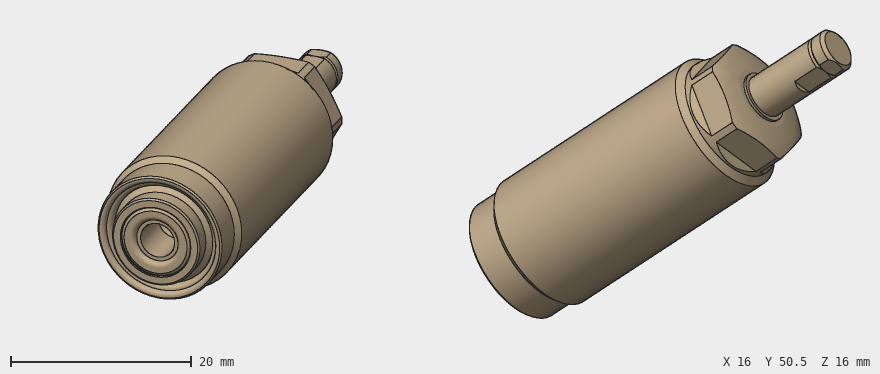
import cadquery as cq
import math

length = 50.5

body_diameter = 16.0
body_radius = body_diameter / 2
collar_radius = 7.35
collar_front = 1.15
collar_edge_chamfer = 0.2
body_front = 5.7
body_rear = 33.3
body_rear_chamfer = 0.7
mouth_radius = 6.5
mouth_fillet = 0.5
mouth_floor = 1.75
throat_radius = 5.9
throat_fillet = mouth_radius - throat_radius
socket_floor = 8.1
hex_across_flats = 12.85
hex_sides = 6
hex_corner_radius = 7.15
hex_start = 35.0
dome_start_radius = 3.65
dome_radius = 7.85
dome_top = 39.0
ring_radius = 3.0
ring_top = 39.3

shaft_radius = 2.5
shaft_seat = body_rear
shaft_end_chamfer = 0.4
shaft_across_flats = 4.5
shaft_flat_start = 45.0
groove_position = 48.55
groove_depth = shaft_radius - shaft_across_flats / 2
groove_half_width = 0.225

plug_face = 0.0
plug_radius = 5.2
plug_edge_chamfer = 0.2
plug_mouth_chamfer = 0.1
plug_cone_start = 1.95
plug_cone_length = throat_radius - plug_radius

bush_radius = 4.1
bush_edge_chamfer = 0.35
bush_edge_length = 0.25
bush_face = plug_face
bore_radius = 2.45
bore_fillet = 0.6
pilot_radius = 2.0
pilot_depth = 6.05
drill_point_angle = 118.0


def revolve_about_y(outline):
    """Turn a closed (radius, Y) half outline once around the Y axis."""
    return outline.close().revolve(360, (0, 0, 0), (0, 1, 0))


def outline_from(radius, y):
    return cq.Workplane("XY").moveTo(radius, y)


def cylinder(radius, y_start, y_end):
    return cq.Workplane("XZ", origin=(0, y_start, 0)).circle(radius).extrude(y_start - y_end)


def rounded_mouth(radius, y_face, fillet):
    """Cutter for the rounded edge of a bore that opens at y_face, as deep as its fillet."""
    bend = fillet * math.sqrt(0.5)
    return revolve_about_y(
        outline_from(0, y_face)
        .lineTo(radius + fillet, y_face)
        .threePointArc((radius + fillet - bend, y_face + fillet - bend), (radius, y_face + fillet))
        .lineTo(0, y_face + fillet)
    )


def flat_cutter(offset, y_start):
    """Cutter for a flat at Z = offset that runs out at 45 degrees below y_start."""
    rise = body_radius
    return (
        cq.Workplane("YZ", origin=(-body_radius, 0, 0))
        .moveTo(y_start, offset)
        .lineTo(y_start - rise, offset + rise)
        .lineTo(length, offset + rise)
        .lineTo(length, offset)
        .close()
        .extrude(2 * body_radius)
    )


def make_housing():
    corner_reach = hex_corner_radius - dome_start_radius
    edge_drop = dome_radius - math.sqrt(dome_radius**2 - corner_reach**2)
    middle_drop = dome_radius - math.sqrt(dome_radius**2 - (corner_reach / 2) ** 2)
    turned = revolve_about_y(
        outline_from(0, collar_front)
        .lineTo(collar_radius - collar_edge_chamfer, collar_front)
        .lineTo(collar_radius, collar_front + collar_edge_chamfer)
        .lineTo(collar_radius, body_front - (body_radius - collar_radius))
        .lineTo(body_radius, body_front)
        .lineTo(body_radius, body_rear)
        .lineTo(hex_corner_radius, body_rear + body_rear_chamfer)
        .lineTo(hex_corner_radius, dome_top - edge_drop)
        .threePointArc(
            (dome_start_radius + corner_reach / 2, dome_top - middle_drop),
            (dome_start_radius, dome_top),
        )
        .lineTo(ring_radius, dome_top)
        .lineTo(ring_radius, ring_top)
        .lineTo(0, ring_top)
    )
    hex_flat = flat_cutter(hex_across_flats / 2, hex_start)
    for index in range(hex_sides):
        turned = turned.cut(hex_flat.rotate((0, 0, 0), (0, 1, 0), index * 360 / hex_sides))
    return (
        turned.cut(rounded_mouth(mouth_radius, collar_front, mouth_fillet))
        .cut(cylinder(mouth_radius, collar_front, mouth_floor))
        .cut(rounded_mouth(throat_radius, mouth_floor, throat_fillet))
        .cut(cylinder(throat_radius, mouth_floor, socket_floor))
        .cut(cylinder(shaft_radius, shaft_seat, ring_top))
    )


def make_shaft():
    shaft = revolve_about_y(
        outline_from(0, shaft_seat)
        .lineTo(shaft_radius, shaft_seat)
        .lineTo(shaft_radius, groove_position - groove_half_width)
        .lineTo(shaft_radius - groove_depth, groove_position)
        .lineTo(shaft_radius, groove_position + groove_half_width)
        .lineTo(shaft_radius, length - shaft_end_chamfer)
        .lineTo(shaft_radius - shaft_end_chamfer, length)
        .lineTo(0, length)
    )
    upper_flat = flat_cutter(shaft_across_flats / 2, shaft_flat_start)
    return shaft.cut(upper_flat).cut(upper_flat.mirror("XY"))


def make_connector_ring():
    return revolve_about_y(
        outline_from(bush_radius, plug_face + plug_mouth_chamfer)
        .lineTo(bush_radius + plug_mouth_chamfer, plug_face)
        .lineTo(plug_radius - plug_edge_chamfer, plug_face)
        .lineTo(plug_radius, plug_face + plug_edge_chamfer)
        .lineTo(plug_radius, plug_cone_start)
        .lineTo(throat_radius, plug_cone_start + plug_cone_length)
        .lineTo(throat_radius, socket_floor)
        .lineTo(bush_radius, socket_floor)
    )


def make_bush():
    drill_point = pilot_radius / math.tan(math.radians(drill_point_angle / 2))
    bush = revolve_about_y(
        outline_from(0, bush_face)
        .lineTo(bush_radius - bush_edge_chamfer, bush_face)
        .lineTo(bush_radius, bush_face + bush_edge_length)
        .lineTo(bush_radius, socket_floor)
        .lineTo(0, socket_floor)
    )
    pilot_hole = revolve_about_y(
        outline_from(0, bush_face)
        .lineTo(pilot_radius, bush_face)
        .lineTo(pilot_radius, bush_face + pilot_depth)
        .lineTo(0, bush_face + pilot_depth + drill_point)
    )
    return bush.cut(rounded_mouth(bore_radius, bush_face, bore_fillet)).cut(pilot_hole)


housing = make_housing()
shaft = make_shaft()
connector_ring = make_connector_ring()
bush = make_bush()

result = cq.Compound.makeCompound(
    [housing.val(), shaft.val(), connector_ring.val(), bush.val()]
)